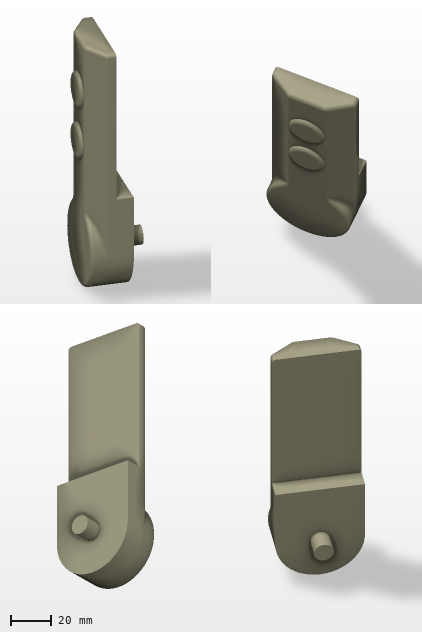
import cadquery as cq

width = 45.0
total_length = 135.0
hub_radius = width / 2
top_z = total_length - hub_radius
hub_depth = 22.0
arm_depth = 13.0
heel_top_z = 32.5
front_half_width = 10.0
bevel_depth = 8.0
edge_radius = 2.0

pin_radius = 5.0
pin_length = 10.0

button_radius = 9.5
button_height = 2.0
lower_button_z = 56.5
button_pitch = 28.0
button_count = 2

overlap = 1.0


def y_cylinder(radius, y_start, y_end, z):
    """Cylinder along Y between two depths, centred on X = 0."""
    profile = cq.Workplane("XZ", origin=(0, y_start, z)).circle(radius)
    return profile.extrude(y_start - y_end)


def make_arm():
    """Arm with a flat front strip and sloped sides, rounded where they meet the side walls."""
    arm = (
        cq.Workplane("XY")
        .moveTo(-hub_radius, arm_depth)
        .lineTo(-hub_radius, bevel_depth)
        .lineTo(-front_half_width, 0)
        .lineTo(front_half_width, 0)
        .lineTo(hub_radius, bevel_depth)
        .lineTo(hub_radius, arm_depth)
        .close()
        .extrude(top_z)
    )
    side_edges = arm.faces("<X or >X").edges("|Z").edges("not >Y")
    return arm.newObject(side_edges.vals()).fillet(edge_radius)


def make_heel():
    """Thick block behind the arm, reaching down to the hub axis."""
    heel_depth = hub_depth - arm_depth
    block = cq.Workplane("XY").box(width, heel_depth, heel_top_z, centered=(True, False, False))
    return block.translate((0, arm_depth, 0))


def round_front(body):
    """Round the front face outline, the top end and the corners between slopes and hub."""
    front_edges = body.faces("<Y").edges().vals()
    top_edges = body.faces(">Z").edges("not (>Y or <Y)").vals()
    slope_hub_edges = body.edges("%ELLIPSE").vals()
    return body.newObject(front_edges + top_edges + slope_hub_edges).fillet(edge_radius)


def make_button(z):
    """Round push button standing proud of the front face."""
    button = y_cylinder(button_radius, -button_height, overlap, z)
    return button.faces("<Y").edges().fillet(button_height)


hub = y_cylinder(hub_radius, 0, hub_depth, 0)
body = round_front(make_arm().union(make_heel()).union(hub).clean())

for index in range(button_count):
    body = body.union(make_button(lower_button_z + index * button_pitch))

pin = y_cylinder(pin_radius, hub_depth - overlap, hub_depth + pin_length, 0)
result = body.union(pin)